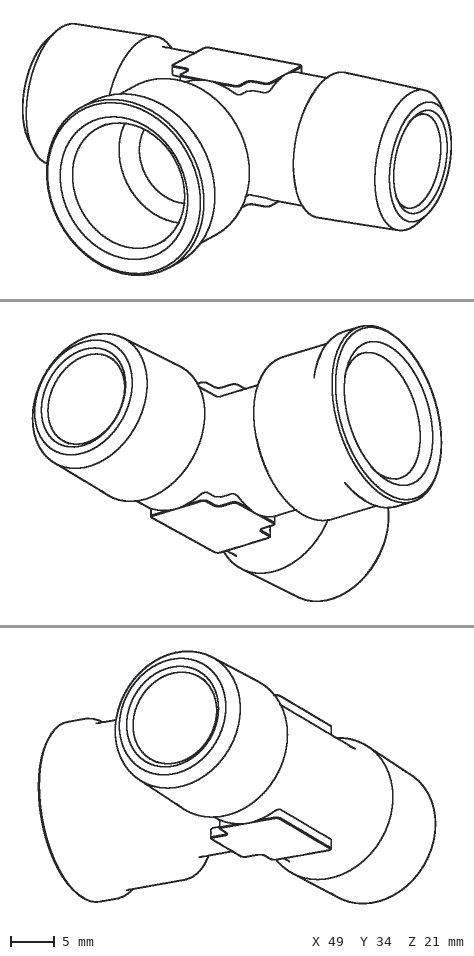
import cadquery as cq
import math

half_length = 24.5
bore_radius = 5.5
neck_radius = 7.5
run_neck_end = 11.4
shoulder_radius = 17.0 / 2
tip_radius = 16.4 / 2
end_chamfer = 1.22
mouth_chamfer = 0.55

overall_depth = 33.95
branch_length = overall_depth - shoulder_radius
branch_neck_end = 11.45
body_radius = 9.75
collar_radius = 21.0 / 2
collar_step_start = 21.45
collar_step_length = 1.45
collar_chamfer = 0.3
socket_radius = 7.5
socket_mouth_radius = 8.55
socket_depth = 11.5
socket_floor_angle = math.radians(59)

flank_angle = math.radians(60)
blend_radius = 1.0
crotch_radius = 0.5

pad_height = neck_radius
pad_width = 13.1
pad_length = 7.95
tab_width = 8.0
tab_reach = 6.5
pad_corner_radius = 0.6
pad_edge_chamfer = 0.1
pad_thickness = 1.45

blend_length = blend_radius * math.sin(flank_angle)
blend_rise = blend_radius * (1 - math.cos(flank_angle))


def run_end():
    """Shoulder and tapered end on the right of the run, revolved about X."""
    cone_start = run_neck_end + blend_length
    cone_start_radius = neck_radius + blend_rise
    shoulder = cone_start + (shoulder_radius - cone_start_radius) / math.tan(flank_angle)
    chamfer_start = half_length - end_chamfer
    return (
        cq.Workplane("XY")
        .moveTo(run_neck_end, 0)
        .lineTo(run_neck_end, neck_radius)
        .radiusArc((cone_start, cone_start_radius), -blend_radius)
        .lineTo(shoulder, shoulder_radius)
        .lineTo(chamfer_start, tip_radius)
        .lineTo(half_length, tip_radius - end_chamfer)
        .lineTo(half_length, 0)
        .close()
        .revolve(360, (0, 0, 0), (1, 0, 0))
    )


def branch():
    """Outside of the branch, revolved about Y and pointing to -Y."""
    cone_start = branch_neck_end + blend_length
    cone_start_radius = neck_radius + blend_rise
    cone_end_radius = body_radius - blend_rise
    cone_end = cone_start + (cone_end_radius - cone_start_radius) / math.tan(flank_angle)
    body_start = cone_end + blend_length
    step_middle = collar_step_start + collar_step_length / 2
    collar_start = collar_step_start + collar_step_length
    return (
        cq.Workplane("XY")
        .lineTo(neck_radius, 0)
        .lineTo(neck_radius, -branch_neck_end)
        .tangentArcPoint((cone_start_radius, -cone_start), relative=False)
        .lineTo(cone_end_radius, -cone_end)
        .tangentArcPoint((body_radius, -body_start), relative=False)
        .lineTo(body_radius, -collar_step_start)
        .tangentArcPoint(((body_radius + collar_radius) / 2, -step_middle), relative=False)
        .tangentArcPoint((collar_radius, -collar_start), relative=False)
        .lineTo(collar_radius, -branch_length + collar_chamfer)
        .lineTo(collar_radius - collar_chamfer, -branch_length)
        .lineTo(0, -branch_length)
        .close()
        .revolve(360, (0, 0, 0), (0, 1, 0))
    )


def pad():
    """Upper pad: a T-shaped flat with upright walls and rounded corners."""
    half_pad = pad_width / 2
    half_tab = tab_width / 2
    outline = (
        cq.Sketch()
        .polygon([
            (-half_pad, pad_length / 2),
            (half_pad, pad_length / 2),
            (half_pad, -pad_length / 2),
            (half_tab, -pad_length / 2),
            (half_tab, -tab_reach),
            (-half_tab, -tab_reach),
            (-half_tab, -pad_length / 2),
            (-half_pad, -pad_length / 2),
            (-half_pad, pad_length / 2),
        ])
        .vertices()
        .fillet(pad_corner_radius)
    )
    top_plane = cq.Workplane("XY").workplane(offset=pad_height)
    block = top_plane.placeSketch(outline).extrude(-pad_thickness)
    return block.faces(">Z").chamfer(pad_edge_chamfer)


def run_bore():
    """Through bore along X, chamfered at both mouths."""
    bore = cq.Workplane("YZ").circle(bore_radius).extrude(half_length, both=True)
    mouth = (
        cq.Workplane("XY")
        .moveTo(half_length, 0)
        .lineTo(half_length, bore_radius + mouth_chamfer)
        .lineTo(half_length - mouth_chamfer, bore_radius)
        .lineTo(half_length - mouth_chamfer, 0)
        .close()
        .revolve(360, (0, 0, 0), (1, 0, 0))
    )
    return bore.union(mouth).union(mouth.mirror("YZ"))


def branch_bore():
    """Chamfered socket that narrows through a cone into the bore."""
    mouth_depth = socket_mouth_radius - socket_radius
    socket_floor = branch_length - socket_depth
    cone_end = socket_floor - (socket_radius - bore_radius) / math.tan(socket_floor_angle)
    return (
        cq.Workplane("XY")
        .lineTo(bore_radius, 0)
        .lineTo(bore_radius, -cone_end)
        .lineTo(socket_radius, -socket_floor)
        .lineTo(socket_radius, -branch_length + mouth_depth)
        .lineTo(socket_mouth_radius, -branch_length)
        .lineTo(0, -branch_length)
        .close()
        .revolve(360, (0, 0, 0), (0, 1, 0))
    )


run_neck = cq.Workplane("YZ").circle(neck_radius).extrude(run_neck_end, both=True)
right_end = run_end()
upper_pad = pad()
body = run_neck.union(right_end).union(right_end.mirror("YZ")).union(branch())
body = body.union(upper_pad).union(upper_pad.mirror("XY"))

crotch_reach = neck_radius + crotch_radius
for side in (-1, 1):
    crotch_edges = cq.selectors.BoxSelector(
        (side * tab_width / 2, -crotch_reach, -pad_height / 2),
        (side * crotch_reach, -tab_width / 2, pad_height / 2),
    )
    body = body.edges(crotch_edges).fillet(crotch_radius)

result = body.cut(run_bore()).cut(branch_bore())